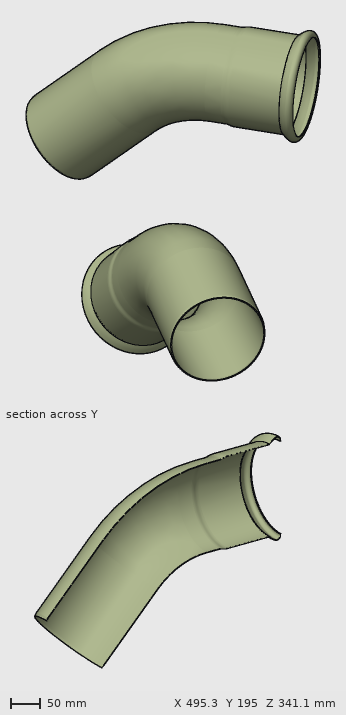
import cadquery as cq
import math


pipe_od = 168.5
pipe_id = 164.0
socket_od = 174.0
socket_id = 170.0
bead_od = 195.0
mouth_id = 173.0
pipe_wall = (pipe_od - pipe_id) / 2

bead_arc_end = 11.0
bead_start = 25.0
flare_end = 113.0
flare_middle = 122.0
flare_start = 129.5
bend_start = 157.5

bead_radius = 8.5
bead_slope_bulge = 0.75
bead_centre_r = bead_od / 2 - bead_radius

bend_angle = 45
bend_radius = 227.5
spigot_length = 167.0
tip_length = 5.0
tip_od = 166.5
tip_id = 162.5


def revolve_about_x(profile):
    return profile.close().revolve(360, (0, 0, 0), (1, 0, 0))


def bead_point(radius, distance):
    """Point on the upper part of a circle around the bead centre."""
    rise = math.sqrt(radius**2 - (distance - bead_radius) ** 2)
    return (-distance, bead_centre_r + rise)


def socket_core(pipe_r, socket_r, bead_arc_r):
    """Solid with one surface of the socket, from the bend to the bead arc's end."""
    flare_share = (flare_start - flare_middle) / (flare_start - flare_end)
    middle_r = pipe_r + (socket_r - pipe_r) * flare_share
    profile = (
        cq.Workplane("XY")
        .moveTo(-bend_start, 0)
        .lineTo(-bend_start, pipe_r)
        .lineTo(-flare_start, pipe_r)
        .tangentArcPoint((-flare_middle, middle_r), relative=False)
        .tangentArcPoint((-flare_end, socket_r), relative=False)
        .lineTo(-bead_start, socket_r)
        .sagittaArc(bead_point(bead_arc_r, bead_arc_end), bead_slope_bulge)
        .threePointArc(
            bead_point(bead_arc_r, bead_radius - bead_arc_r / 2),
            (bead_arc_r - bead_radius, bead_centre_r),
        )
        .lineTo(bead_arc_r - bead_radius, 0)
    )
    return revolve_about_x(profile)


def make_socket():
    outside = socket_core(pipe_od / 2, socket_od / 2, bead_radius)
    inside = socket_core(pipe_id / 2, socket_id / 2, bead_radius - pipe_wall)
    mouth = cq.Workplane("YZ").circle(mouth_id / 2).extrude(-bead_arc_end)
    return outside.cut(inside).cut(mouth)


def make_bend():
    ring = cq.Workplane("YZ", origin=(-bend_start, 0, 0)).circle(pipe_od / 2).circle(pipe_id / 2)
    return ring.revolve(bend_angle, (0, -bend_radius, 0), (-1, -bend_radius, 0))


def make_spigot():
    tip_x = -bend_start - spigot_length
    profile = (
        cq.Workplane("XY")
        .moveTo(-bend_start, pipe_id / 2)
        .lineTo(-bend_start, pipe_od / 2)
        .lineTo(tip_x + tip_length, pipe_od / 2)
        .lineTo(tip_x, tip_od / 2)
        .lineTo(tip_x, tip_id / 2)
        .lineTo(tip_x + tip_length, pipe_id / 2)
    )
    pivot = (-bend_start, 0, -bend_radius)
    pivot_end = (-bend_start, 1, -bend_radius)
    return revolve_about_x(profile).rotate(pivot, pivot_end, -bend_angle)


result = make_socket().union(make_bend()).union(make_spigot())